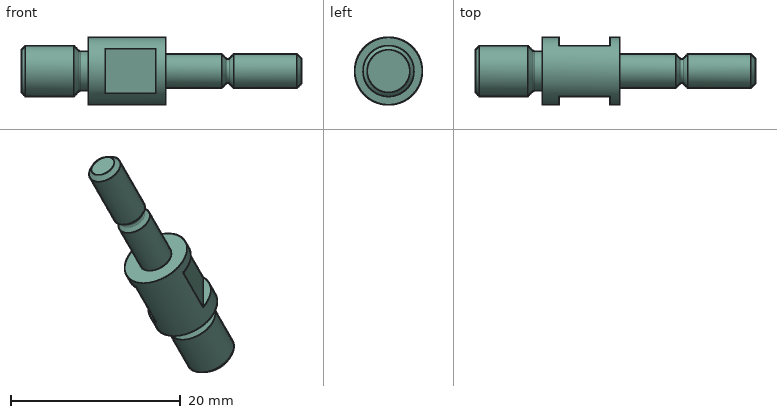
import cadquery as cq
import math

total_length = 33.0
body_start = 7.85
body_length = 9.17
body_end = body_start + body_length

head_radius = 3.0
neck_radius = 2.35
body_radius = 4.0
shaft_radius = 2.0
groove_root_radius = 1.42

head_chamfer = 0.5
shaft_chamfer = 0.55
head_end = 6.17
groove_center = 24.3
root_fillet = 0.3

flat_half_width = 3.0
flat_inset = 2.0
flat_start = body_start + flat_inset
flat_length = 5.97

slope = math.radians(45)
fillet_run = root_fillet * math.sin(slope)
fillet_rise = root_fillet * (1 - math.cos(slope))
half_turn_run = root_fillet * math.sin(slope / 2)
half_turn_rise = root_fillet * (1 - math.cos(slope / 2))

neck_cone = head_radius - neck_radius - fillet_rise
neck_start = head_end + neck_cone + fillet_run
groove_half_width = fillet_run + shaft_radius - groove_root_radius - fillet_rise


def fillet_point(end_x, root_radius, run, rise):
    """Point on a root fillet, offset from where it is tangent to the root."""
    return (end_x + run, root_radius + rise)


def make_turned_pin():
    profile = (
        cq.Workplane("XZ")
        .moveTo(0, 0)
        .lineTo(0, head_radius - head_chamfer)
        .lineTo(head_chamfer, head_radius)
        .lineTo(head_end, head_radius)
        .lineTo(*fillet_point(neck_start, neck_radius, -fillet_run, fillet_rise))
        .threePointArc(
            fillet_point(neck_start, neck_radius, -half_turn_run, half_turn_rise),
            (neck_start, neck_radius),
        )
        .lineTo(body_start, neck_radius)
        .lineTo(body_start, body_radius)
        .lineTo(body_end, body_radius)
        .lineTo(body_end, shaft_radius)
        .lineTo(groove_center - groove_half_width, shaft_radius)
        .lineTo(*fillet_point(groove_center, groove_root_radius, -fillet_run, fillet_rise))
        .threePointArc(
            fillet_point(groove_center, groove_root_radius, -half_turn_run, half_turn_rise),
            (groove_center, groove_root_radius),
        )
        .threePointArc(
            fillet_point(groove_center, groove_root_radius, half_turn_run, half_turn_rise),
            fillet_point(groove_center, groove_root_radius, fillet_run, fillet_rise),
        )
        .lineTo(groove_center + groove_half_width, shaft_radius)
        .lineTo(total_length - shaft_chamfer, shaft_radius)
        .lineTo(total_length, shaft_radius - shaft_chamfer)
        .lineTo(total_length, 0)
        .close()
    )
    return profile.revolve(360, (0, 0, 0), (1, 0, 0))


def make_flat_cutter(side):
    """Block that removes the body beyond one flat; side is -1 or 1 along Y."""
    depth = body_radius
    center_x = flat_start + flat_length / 2
    center_y = side * (flat_half_width + depth / 2)
    return (
        cq.Workplane("XY")
        .box(flat_length, depth, 2 * body_radius)
        .translate((center_x, center_y, 0))
    )


result = make_turned_pin()
for side in (-1, 1):
    result = result.cut(make_flat_cutter(side))